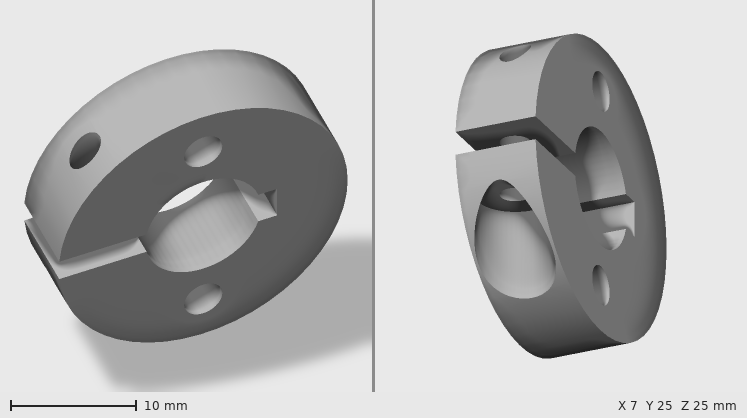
import cadquery as cq

outer_diameter = 25.0
width = 7.0
bore_diameter = 10.0

slit_width = 2.0
keyway_width = 3.05
keyway_reach = 6.4

side_hole_diameter = 3.3
side_hole_offset = 8.5

screw_offset = 8.7
screw_hole_diameter = 2.5
screw_head_diameter = 6.5
screw_seat_depth = 3.58

outer_radius = outer_diameter / 2


def make_collar():
    """Ring centred on the origin, pierced by the bore and the side holes."""
    return (
        cq.Workplane("YZ", origin=(-width / 2, 0, 0))
        .circle(outer_radius)
        .circle(bore_diameter / 2)
        .pushPoints([(0, side_hole_offset), (0, -side_hole_offset)])
        .circle(side_hole_diameter / 2)
        .extrude(width)
    )


def radial_slot(end_y, slot_width):
    """Full-width box from the bore axis out to end_y."""
    return cq.Workplane("XY").box(width, abs(end_y), slot_width).translate((0, end_y / 2, 0))


def make_screw_cutter():
    """Through hole with a head counterbore open at the bottom."""
    hole = (
        cq.Workplane("XY")
        .center(0, -screw_offset)
        .circle(screw_hole_diameter / 2)
        .extrude(outer_radius, both=True)
    )
    counterbore = (
        cq.Workplane("XY", origin=(0, -screw_offset, -outer_radius))
        .circle(screw_head_diameter / 2)
        .extrude(outer_radius - screw_seat_depth)
    )
    return hole.union(counterbore)


result = (
    make_collar()
    .cut(radial_slot(-outer_radius, slit_width))
    .cut(radial_slot(keyway_reach, keyway_width))
    .cut(make_screw_cutter())
)